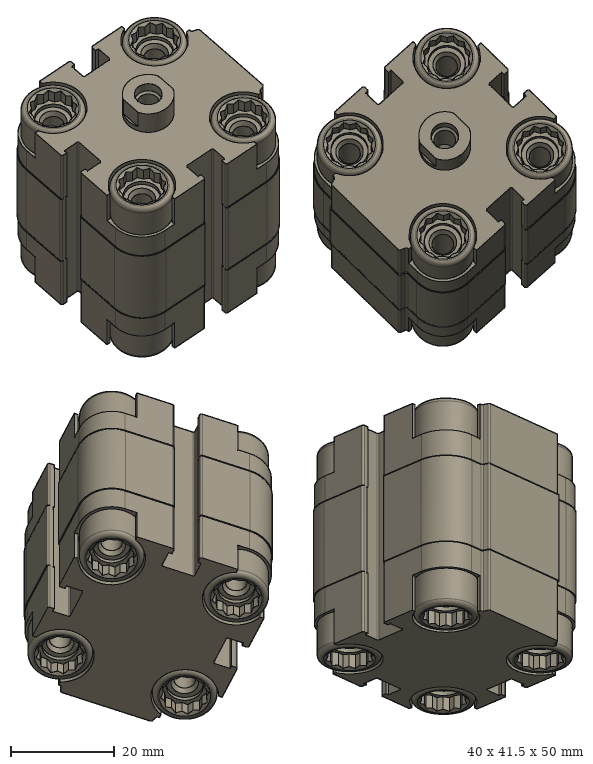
import cadquery as cq
import math

TOTAL_HEIGHT = 50.0
HOUSING_HEIGHT = 44.5
CAP_HEIGHT = 13.0
BAND_HEIGHT = HOUSING_HEIGHT - 2 * CAP_HEIGHT

BAND_HALF_WIDTH = 20.0
BAND_STEP = 0.2
CAP_HALF_WIDTH = BAND_HALF_WIDTH - BAND_STEP
SCREW_PITCH = 26.0
SCREW_OFFSET = SCREW_PITCH / 2

RIDGE_HEIGHT = 1.5
RIDGE_BASE_HALF_WIDTH = 10.0
RIDGE_TAPER = 0.5
RIDGE_FILLET = 0.45

SLOT_OPENING = 5.4
SLOT_WIDTH = 6.8
SLOT_FLOOR = 15.0
SLOT_LIP_THICKNESS = 1.3
SLOT_LIP_FILLET = 0.4
SLOT_FLOOR_FILLET = 0.3

RECESS_DEPTH = 7.5
RECESS_DIAMETER = 13.0
RECESS_WALL = 10.55
COLLAR_DIAMETER = 12.5
COLLAR_FILLET = 0.95

SOCKET_RIM_DIAMETER = 10.0
SOCKET_CHAMFER_ANGLE = 30.0
SOCKET_ACROSS_FLATS = 8.1
SOCKET_DEPTH = 3.15
SEAT_DIAMETER = 7.2
SEAT_DEPTH = 4.05
CONE_DIAMETER = 5.3
CONE_HEIGHT = 1.0
SCREW_HOLE_DIAMETER = 4.15

ROD_DIAMETER = 10.0
ROD_FLATS = 9.0
ROD_FLAT_LENGTH = 4.25
ROD_BOTTOM = HOUSING_HEIGHT - CAP_HEIGHT
ROD_BORE_DIAMETER = 5.3
ROD_BORE_DEPTH = 2.1
ROD_BORE_CONE = 0.3
ROD_THREAD_DIAMETER = 4.15
ROD_THREAD_DEPTH = 10.0
DRILL_TIP_ANGLE = 118.0

CORNERS = [(x, y) for x in (-SCREW_OFFSET, SCREW_OFFSET) for y in (-SCREW_OFFSET, SCREW_OFFSET)]


def ridge(half_width, step, bottom, height):
    """Tapered ridge on the +Y face, blended into it; step widens it by the band's offset."""
    base = RIDGE_BASE_HALF_WIDTH + step
    top = base - RIDGE_TAPER
    inner = SCREW_OFFSET - BAND_STEP
    crest = half_width + RIDGE_HEIGHT
    outline = [
        (-inner, 0),
        (inner, 0),
        (inner, half_width),
        (base, half_width),
        (top, crest),
        (-top, crest),
        (-base, half_width),
        (-inner, half_width),
    ]
    block = cq.Workplane("XY").workplane(offset=bottom).polyline(outline).close().extrude(height)
    edges = cq.selectors.BoxSelector(
        (-base - RIDGE_FILLET, half_width - RIDGE_FILLET, bottom),
        (base + RIDGE_FILLET, crest + RIDGE_FILLET, bottom + height),
    )
    return block.edges("|Z").edges(edges).fillet(RIDGE_FILLET)


def section(half_width, step, bottom, height):
    """Length of the housing with rounded corners, the ridge and the three T-slots."""
    block = (
        cq.Workplane("XY")
        .workplane(offset=bottom)
        .rect(2 * half_width, 2 * half_width)
        .extrude(height)
        .edges("|Z")
        .fillet(half_width - SCREW_OFFSET)
    )
    block = block.union(ridge(half_width, step, bottom, height))
    for angle in (0, 90, 180):
        block = block.cut(slot(half_width, bottom, height).rotate((0, 0, 0), (0, 0, 1), angle))
    return block


def slot(half_width, bottom, height):
    """T-slot cutter opening towards -X, with a rounded floor and rounded lip edges."""
    plane = cq.Workplane("XY").workplane(offset=bottom)
    lip_inner = half_width - SLOT_LIP_THICKNESS
    chamber = (
        plane.center(-(SLOT_FLOOR + lip_inner) / 2, 0)
        .rect(lip_inner - SLOT_FLOOR, SLOT_WIDTH)
        .extrude(height)
        .edges("|Z and >X")
        .fillet(SLOT_FLOOR_FILLET)
    )
    half_opening = SLOT_OPENING / 2
    flare = half_opening + SLOT_LIP_FILLET
    lip_start = -half_width + SLOT_LIP_FILLET
    bend = SLOT_LIP_FILLET * (1 - math.sqrt(0.5))
    opening = (
        plane.moveTo(-lip_inner, half_opening)
        .lineTo(lip_start, half_opening)
        .threePointArc((-half_width + bend, half_opening + bend), (-half_width, flare))
        .lineTo(-half_width, -flare)
        .threePointArc((-half_width + bend, -half_opening - bend), (lip_start, -half_opening))
        .lineTo(-lip_inner, -half_opening)
        .close()
        .extrude(height)
    )
    return chamber.union(opening)


def corner_recess():
    """Cutter leaving a round collar at the top of the corner on the +X +Y side."""
    floor = cq.Workplane("XY").workplane(offset=HOUSING_HEIGHT - RECESS_DEPTH)
    centre = (SCREW_OFFSET, SCREW_OFFSET)
    corner = floor.moveTo(RECESS_WALL, RECESS_WALL).rect(
        BAND_HALF_WIDTH - RECESS_WALL, BAND_HALF_WIDTH - RECESS_WALL, centered=False
    ).extrude(RECESS_DEPTH)
    pocket = floor.moveTo(*centre).circle(RECESS_DIAMETER / 2).extrude(RECESS_DEPTH)
    collar = (
        floor.moveTo(*centre)
        .circle(COLLAR_DIAMETER / 2)
        .extrude(RECESS_DEPTH)
        .faces(">Z")
        .edges()
        .fillet(COLLAR_FILLET)
    )
    return corner.union(pocket).cut(collar)


def screw_socket():
    """Cutter for a 12-point socket with its seat and cone, at the top of a +X +Y corner."""
    plane = cq.Workplane("XY")
    rim = SOCKET_RIM_DIAMETER / 2
    mouth_depth = rim * math.tan(math.radians(SOCKET_CHAMFER_ANGLE))
    cutter = cq.Workplane(cq.Solid.makeCone(0, rim, mouth_depth)).translate((0, 0, -mouth_depth))
    across_corners = SOCKET_ACROSS_FLATS / math.cos(math.radians(30))
    for turn in (0, 30):
        hexagon = plane.polygon(6, across_corners).extrude(-SOCKET_DEPTH)
        cutter = cutter.union(hexagon.rotate((0, 0, 0), (0, 0, 1), turn))
    seat = plane.circle(SEAT_DIAMETER / 2).extrude(-SEAT_DEPTH)
    cone = cq.Workplane(
        cq.Solid.makeCone(SCREW_HOLE_DIAMETER / 2, CONE_DIAMETER / 2, CONE_HEIGHT)
    ).translate((0, 0, -SEAT_DEPTH - CONE_HEIGHT))
    return cutter.union(seat).union(cone).translate((SCREW_OFFSET, SCREW_OFFSET, HOUSING_HEIGHT))


def build_housing():
    """Two caps and the proud middle band in one piece."""
    body = section(BAND_HALF_WIDTH, BAND_STEP, CAP_HEIGHT, BAND_HEIGHT)
    for bottom in (0, HOUSING_HEIGHT - CAP_HEIGHT):
        body = body.union(section(CAP_HALF_WIDTH, 0, bottom, CAP_HEIGHT))
    body = body.clean()
    screw_holes = (
        cq.Workplane("XY").pushPoints(CORNERS).circle(SCREW_HOLE_DIAMETER / 2).extrude(HOUSING_HEIGHT)
    )
    body = body.cut(screw_holes)
    corner = corner_recess().union(screw_socket())
    corner = corner.union(corner.mirror("XY", (0, 0, HOUSING_HEIGHT / 2)))
    for turn in range(4):
        body = body.cut(corner.rotate((0, 0, 0), (0, 0, 1), 90 * turn))
    rod_hole = cq.Workplane("XY").workplane(offset=ROD_BOTTOM).circle(ROD_DIAMETER / 2).extrude(CAP_HEIGHT)
    return body.cut(rod_hole)


def build_piston_rod():
    """Round rod with two wrench flats and a threaded hole in its end."""
    rod = (
        cq.Workplane("XY")
        .workplane(offset=ROD_BOTTOM)
        .circle(ROD_DIAMETER / 2)
        .extrude(TOTAL_HEIGHT - ROD_BOTTOM)
    )
    flats = (
        cq.Workplane("XY")
        .workplane(offset=TOTAL_HEIGHT - ROD_FLAT_LENGTH)
        .rect(ROD_DIAMETER, ROD_DIAMETER)
        .rect(ROD_DIAMETER, ROD_FLATS)
        .extrude(ROD_FLAT_LENGTH)
    )
    bore = ROD_BORE_DIAMETER / 2
    thread = ROD_THREAD_DIAMETER / 2
    tip = thread / math.tan(math.radians(DRILL_TIP_ANGLE / 2))
    hole = (
        cq.Workplane("XZ")
        .moveTo(0, TOTAL_HEIGHT)
        .lineTo(bore, TOTAL_HEIGHT)
        .lineTo(bore, TOTAL_HEIGHT - ROD_BORE_DEPTH)
        .lineTo(thread, TOTAL_HEIGHT - ROD_BORE_DEPTH - ROD_BORE_CONE)
        .lineTo(thread, TOTAL_HEIGHT - ROD_THREAD_DEPTH)
        .lineTo(0, TOTAL_HEIGHT - ROD_THREAD_DEPTH - tip)
        .close()
        .revolve(360, (0, 0, 0), (0, 1, 0))
    )
    return rod.cut(flats).cut(hole)


housing = build_housing()
piston_rod = build_piston_rod()

result = cq.Compound.makeCompound([housing.val(), piston_rod.val()])